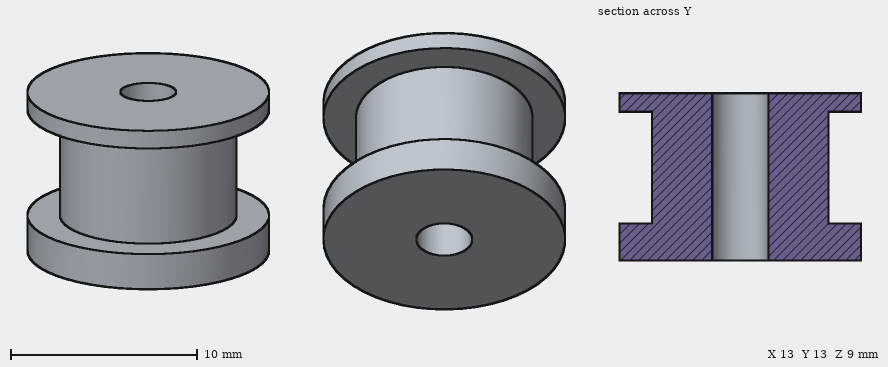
import cadquery as cq

flange_diameter = 13.0
hub_diameter = 9.5
bore_diameter = 3.0
total_height = 9.0
bottom_flange_thickness = 2.0
top_flange_thickness = bottom_flange_thickness / 2


def disc(diameter, bottom, height):
    """Solid cylinder centred on the spool axis, rising from the given level."""
    return cq.Workplane("XY").workplane(offset=bottom).circle(diameter / 2).extrude(height)


hub = disc(hub_diameter, 0, total_height)
bottom_flange = disc(flange_diameter, 0, bottom_flange_thickness)
top_flange = disc(flange_diameter, total_height - top_flange_thickness, top_flange_thickness)

bore = disc(bore_diameter, 0, total_height)

result = hub.union(bottom_flange).union(top_flange).cut(bore)